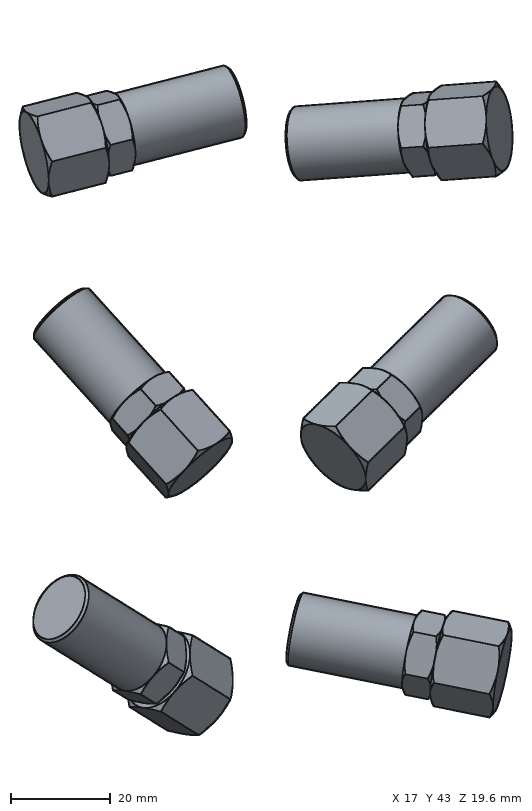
import cadquery as cq
import math

total_length = 43.0
nut_flats = 17.0
nut_length = 13.0
collar_flats = 15.0
collar_length = 6.0
shank_diameter = collar_flats
shank_chamfer = 0.5
corner_angle = 30.0

collar_start = nut_length
shank_start = collar_start + collar_length
shank_length = total_length - shank_start


def plane_at(y):
    """Plane across the axis at y, extruding toward +Y, with its local x along Z."""
    return cq.Plane(origin=(0, y, 0), xDir=(0, 0, 1), normal=(0, 1, 0))


def chamfered_hexagon(flats, length, start):
    """Hexagonal prism with corners up and down along Z, both ends turned to a cone."""
    corner_radius = flats / 2 / math.cos(math.radians(30))
    flat_radius = flats / 2
    chamfer_depth = (corner_radius - flat_radius) * math.tan(math.radians(corner_angle))
    prism = cq.Workplane(plane_at(start)).polygon(6, 2 * corner_radius).extrude(length)
    envelope = (
        cq.Workplane("XY")
        .moveTo(0, start)
        .lineTo(flat_radius, start)
        .lineTo(corner_radius, start + chamfer_depth)
        .lineTo(corner_radius, start + length - chamfer_depth)
        .lineTo(flat_radius, start + length)
        .lineTo(0, start + length)
        .close()
        .revolve(360, (0, 0, 0), (0, 1, 0))
    )
    return prism.intersect(envelope)


nut = chamfered_hexagon(nut_flats, nut_length, 0)
collar = chamfered_hexagon(collar_flats, collar_length, collar_start)

shank = (
    cq.Workplane(plane_at(shank_start))
    .circle(shank_diameter / 2)
    .extrude(shank_length)
    .faces(">Y")
    .chamfer(shank_chamfer)
)

result = nut.union(collar).union(shank)